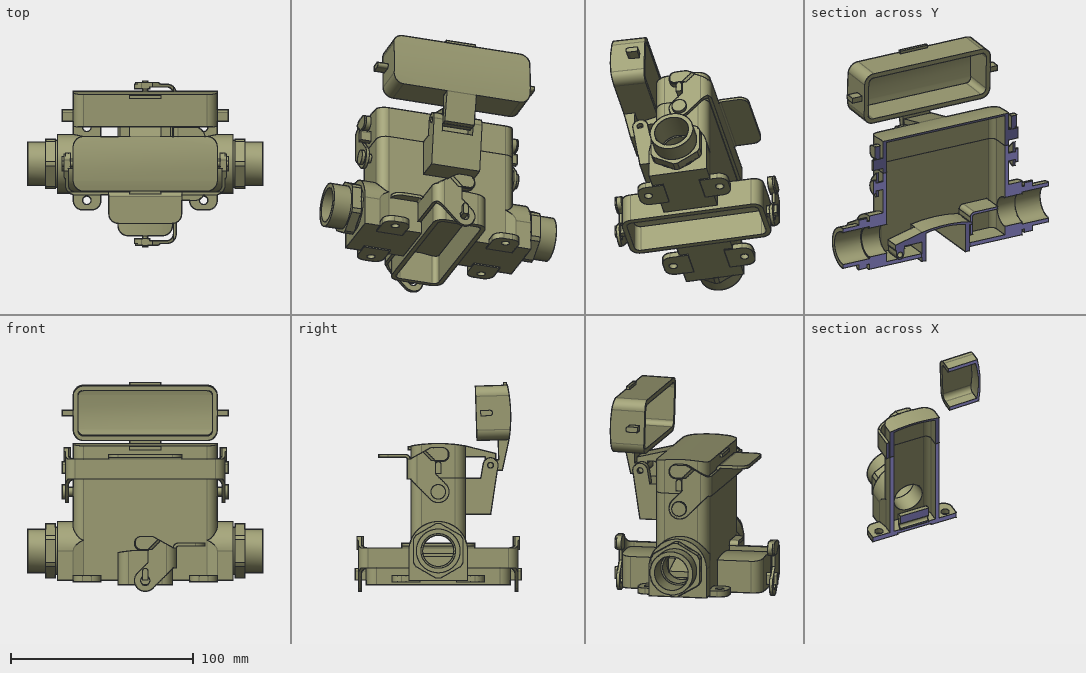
import cadquery as cq
import math


BOX_LENGTH = 79.0
BOX_WIDTH = 29.9
BOX_CORNER_RADIUS = 5.7
WALL = 2.6
HALF_LENGTH = BOX_LENGTH / 2
HALF_WIDTH = BOX_WIDTH / 2

HOUSING_HEIGHT = 56.0
SPIGOT_AXIS_Z = 16.1
BOSS_RADIUS = 16.1
BOSS_END_X = 48.1
BOSS_START_X = HALF_LENGTH - BOX_CORNER_RADIUS
CABLE_HOLE_DIAMETER = 17.0

FOOT_BOTTOM = -0.8
FOOT_TOP = WALL
FOOT_INNER_X = 24.3
FOOT_INNER_Y = 10.0
FOOT_OUTER_Y = 25.3
FOOT_CORNER_RADIUS = 5.2
FOOT_HOLE_X = 32.0
FOOT_HOLE_Y = 20.0
FOOT_HOLE_DIAMETER = 4.5

PEG_SPAN = 91.0
PEG_TIP = PEG_SPAN / 2
PEG_WIDTH = 3.0
PEG_BOTTOM = 2.6
PEG_TOP = 9.0
LEVER_PIVOT_Z = 48.5
RIVET_DIAMETER = 5.0
RIVET_HEAD_DIAMETER = 8.0

HINGE_Y = 28.6
HINGE_Z = 63.1
HINGE_PIN_DIAMETER = 3.0
HINGE_HOLE_DIAMETER = 3.2
HINGE_PIN_LENGTH = 22.7
EYE_RADIUS = 2.5
EAR_RADIUS = 4.1
EAR_LEAN = math.radians(9)
BRACKET_WIDTH = 27.9
BRACKET_BOTTOM_Z = 36.1
BRACKET_BOTTOM_Y = 28.8
BRACKET_TOP_Y = 23.2
EAR_GAP = 17.5
OPENING_ANGLE = 88.3

COVER_EDGE_HEIGHT = 17.7
COVER_CROWN_HEIGHT = 19.1
COVER_ROOF = 1.3
ARM_WIDTH = 17.0
ARM_TIP_Y = 31.6
ARM_TIP_TOP = 13.5
ARM_TIP_BOTTOM = 10.2
ARM_STEP_Y = 25.7
ARM_UNDERSIDE = 11.6
TAB_LENGTH = ARM_WIDTH
TAB_REACH = 1.5
TAB_BOTTOM = 15.5
TAB_TOP = 17.3
CROSS_COVER_RIM_Z = -2.5

SHEET = 1.7
LEVER_SIDE_X = 43.7
LEVER_FRONT = 17.0
LEVER_BEND_RADIUS = 5.3
LEVER_END_RADIUS = 5.9
BAND_BOTTOM = 7.0
BAND_TOP = 17.9
HOOK_TOP = 24.3
HOOK_BOTTOM = PEG_TOP + HOUSING_HEIGHT - LEVER_PIVOT_Z
HOOK_FRONT = 4.0
HOOK_BACK = 1.5
HOOK_OUTER_X = 44.6
HOOK_INNER_X = 41.0
HOOK_LIP_FRONT = 2.6
HOOK_RAMP = 2.0
PAD_INSET = 0.5
HANDLE_LENGTH = 40.0
HANDLE_REACH = 32.6
HANDLE_TOP = 20.5
HANDLE_CORNER_RADIUS = 5.2
CROSS_LEVER_PIVOT_Z = -0.1

NECK_DIAMETER = 26.0
NECK_END_X = 49.3
NUT_ACROSS_FLATS = 27.1
NUT_CORNER_DIAMETER = 29.9
NUT_END_X = 54.6
TUBE_DIAMETER = 24.0
TUBE_END_X = 64.5
SPIGOT_BORE_DIAMETER = 19.0


def block(x0, x1, y0, y1, z0, z1):
    """Axis-aligned block between two opposite corners."""
    return cq.Workplane("XY").box(x1 - x0, y1 - y0, z1 - z0, centered=False).translate((x0, y0, z0))


def rod_x(diameter, x0, x1, y=0.0, z=0.0):
    """Cylinder along X."""
    return cq.Workplane("YZ", origin=(x0, y, z)).circle(diameter / 2).extrude(x1 - x0)


def rounded_box(length, width, height, corner_radius):
    """Box standing on Z = 0 with rounded upright edges."""
    return cq.Workplane("XY").rect(length, width).extrude(height).edges("|Z").fillet(corner_radius)


def both_ends(shape):
    """The +X shape together with its mirror image at -X."""
    return shape.union(shape.mirror("YZ"))


def turn_crosswise(shape):
    """Quarter turn about Z that carries +Y to -X."""
    return shape.rotate((0, 0, 0), (0, 0, 1), 90)


def crowned_box(side_inset, top_inset):
    """Rounded box whose top is arched across its width, shrunk at the sides and at the top."""
    half_width = HALF_WIDTH - side_inset
    edge = COVER_EDGE_HEIGHT - top_inset
    crown = COVER_CROWN_HEIGHT - top_inset
    arch = (
        cq.Workplane("YZ")
        .moveTo(-half_width, 0)
        .lineTo(-half_width, edge)
        .threePointArc((0, crown), (half_width, edge))
        .lineTo(half_width, 0)
        .close()
        .extrude(HALF_LENGTH, both=True)
    )
    length = BOX_LENGTH - 2 * side_inset
    prism = rounded_box(length, 2 * half_width, crown, BOX_CORNER_RADIUS - side_inset)
    return prism.intersect(arch)


def cover_pegs():
    """Locking pegs with a round top, reaching out at both ends of a cover."""
    radius = PEG_WIDTH / 2
    peg = (
        cq.Workplane("YZ", origin=(HALF_LENGTH - WALL / 2, 0, 0))
        .moveTo(-radius, PEG_BOTTOM)
        .lineTo(-radius, PEG_TOP - radius)
        .threePointArc((0, PEG_TOP), (radius, PEG_TOP - radius))
        .lineTo(radius, PEG_BOTTOM)
        .close()
        .extrude(PEG_TIP - HALF_LENGTH + WALL / 2)
    )
    return both_ends(peg)


def hinge_arm():
    """Arm that reaches back from the cover over the hinge."""
    root_y = HALF_WIDTH - WALL / 2
    outline = [
        (root_y, COVER_EDGE_HEIGHT),
        (HALF_WIDTH, COVER_EDGE_HEIGHT),
        (ARM_TIP_Y, ARM_TIP_TOP),
        (ARM_TIP_Y, ARM_TIP_BOTTOM),
        (ARM_STEP_Y, ARM_TIP_BOTTOM),
        (ARM_STEP_Y, ARM_UNDERSIDE),
        (root_y, ARM_UNDERSIDE),
    ]
    return cq.Workplane("YZ").polyline(outline).close().extrude(ARM_WIDTH / 2, both=True)


def hinge_eye():
    """Strap from the arm down to the hinge axis, rounded about it and bored for the hinge pin."""
    pivot_height = HINGE_Z - HOUSING_HEIGHT
    half_arm = ARM_WIDTH / 2
    strap_front = HINGE_Y - EYE_RADIUS
    strap_back = HINGE_Y + EYE_RADIUS
    strap = block(-half_arm, half_arm, strap_front, strap_back, pivot_height, ARM_TIP_BOTTOM)
    eye = rod_x(2 * EYE_RADIUS, -half_arm, half_arm, HINGE_Y, pivot_height)
    pin_hole = rod_x(HINGE_PIN_DIAMETER, -half_arm, half_arm, HINGE_Y, pivot_height)
    return strap.union(eye).cut(pin_hole)


def finger_tab():
    """Small lip on the front of a cover."""
    half = TAB_LENGTH / 2
    front = -HALF_WIDTH - TAB_REACH
    return block(-half, half, front, -HALF_WIDTH + WALL / 2, TAB_BOTTOM, TAB_TOP)


def plain_cover():
    """Hollow cover with pegs, arm and tab; open below, rim at Z = 0."""
    solid = crowned_box(0, 0).union(hinge_arm()).union(cover_pegs()).union(finger_tab())
    return solid.cut(crowned_box(WALL, COVER_ROOF))


def cover():
    """Cover whose arm ends in the hinge eye."""
    return plain_cover().union(hinge_eye())


def place_on_housing(shape):
    return shape.translate((0, 0, HOUSING_HEIGHT))


def place_crosswise(shape):
    """Turn a cover a quarter about Z, its arm towards -X, and set it through the housing foot."""
    return turn_crosswise(shape).translate((0, 0, CROSS_COVER_RIM_Z))


def closed_cover():
    """Cover on the housing; it has no eye, because the open cover fills the hinge."""
    return place_on_housing(plain_cover())


def open_cover():
    hinge_start = (0, HINGE_Y, HINGE_Z)
    hinge_end = (1, HINGE_Y, HINGE_Z)
    return place_on_housing(cover()).rotate(hinge_start, hinge_end, -OPENING_ANGLE)


def cross_cover():
    return place_crosswise(cover())


def hinge_pin():
    """Plain pin through the open cover's eye, its ends set back inside the ears."""
    half_length = HINGE_PIN_LENGTH / 2
    return rod_x(HINGE_PIN_DIAMETER, -half_length, half_length, HINGE_Y, HINGE_Z)


def lever_profile():
    """Side outline of the lever, drawn with +Y towards the back, as a bar along X."""
    tangent = LEVER_END_RADIUS * math.sqrt(0.5)
    diagonal_offset = LEVER_END_RADIUS * math.sqrt(2)
    arc_middle_y = LEVER_END_RADIUS * math.cos(math.pi / 8)
    arc_middle_z = -LEVER_END_RADIUS * math.sin(math.pi / 8)
    hook_radius = (HOOK_TOP - HOOK_BOTTOM) / 2
    hook_middle = (HOOK_TOP + HOOK_BOTTOM) / 2
    hook_end = LEVER_END_RADIUS - hook_radius
    return (
        cq.Workplane("YZ")
        .moveTo(tangent, tangent)
        .threePointArc((arc_middle_y, arc_middle_z), (-tangent, -tangent))
        .lineTo(-diagonal_offset - BAND_BOTTOM, BAND_BOTTOM)
        .lineTo(-LEVER_FRONT, BAND_BOTTOM)
        .lineTo(-LEVER_FRONT, BAND_TOP)
        .lineTo(-diagonal_offset - BAND_BOTTOM, BAND_TOP)
        .lineTo(-HOOK_FRONT, HOOK_TOP)
        .lineTo(hook_end, HOOK_TOP)
        .threePointArc((LEVER_END_RADIUS, hook_middle), (hook_end, HOOK_BOTTOM))
        .lineTo(-HOOK_BACK, HOOK_BOTTOM)
        .lineTo(-HOOK_BACK, diagonal_offset + HOOK_BACK)
        .close()
        .extrude(HOOK_OUTER_X, both=True)
    )


def bent_sheet():
    """Upright sheet bent into a U: two sides and a front band with round bends."""
    back = LEVER_END_RADIUS
    middle_y = (back - LEVER_FRONT) / 2
    outer = (
        cq.Workplane("XY")
        .center(0, middle_y)
        .rect(2 * LEVER_SIDE_X, back + LEVER_FRONT)
        .extrude(HOOK_TOP + LEVER_END_RADIUS)
        .edges("|Z and <Y")
        .fillet(LEVER_BEND_RADIUS)
    )
    inner = (
        cq.Workplane("XY")
        .center(0, middle_y + SHEET / 2)
        .rect(2 * (LEVER_SIDE_X - SHEET), back + LEVER_FRONT - SHEET)
        .extrude(HOOK_TOP + LEVER_END_RADIUS)
        .edges("|Z and <Y")
        .fillet(LEVER_BEND_RADIUS - SHEET)
    )
    return outer.cut(inner).translate((0, 0, -LEVER_END_RADIUS))


def pad_section(x, front):
    """Outline of the outer hook pad at one X, with a front edge that leans forward at 45 degrees."""
    back = LEVER_END_RADIUS - PAD_INSET
    bottom = HOOK_BOTTOM + PAD_INSET
    corners = [
        cq.Vector(x, back, bottom),
        cq.Vector(x, -front, bottom),
        cq.Vector(x, -front - HOOK_TOP + bottom, HOOK_TOP),
        cq.Vector(x, back, HOOK_TOP),
    ]
    return cq.Wire.makePolygon(corners, close=True)


def hook_pads():
    """Thickened hooks: an inner lip, and an outer pad with a ramp down to the sheet."""
    lip = block(HOOK_INNER_X, LEVER_SIDE_X, -HOOK_LIP_FRONT, LEVER_END_RADIUS, HOOK_BOTTOM, HOOK_TOP)
    pad_height = HOOK_OUTER_X - LEVER_SIDE_X
    pad_root = pad_section(LEVER_SIDE_X - pad_height, HOOK_BACK + 2 * HOOK_RAMP)
    pad_face = pad_section(HOOK_OUTER_X, HOOK_BACK)
    pad = cq.Workplane(obj=cq.Solid.makeLoft([pad_root, pad_face], True))
    end_radius = (HOOK_TOP - HOOK_BOTTOM - PAD_INSET) / 2 - PAD_INSET
    end_block = block(
        HOOK_INNER_X,
        HOOK_OUTER_X,
        -LEVER_FRONT,
        LEVER_END_RADIUS - PAD_INSET,
        HOOK_BOTTOM + PAD_INSET,
        HOOK_TOP,
    )
    rounded_end = end_block.edges("|X and >Y").fillet(end_radius)
    return both_ends(lip.union(pad.intersect(rounded_end)))


def lever_handle():
    """Finger plate carried forward from the top of the band by a round bend."""
    bend_radius = HANDLE_TOP - BAND_TOP
    back = -LEVER_FRONT + SHEET
    plate_middle = -(HANDLE_REACH + LEVER_FRONT - SHEET) / 2
    plate_bottom = HANDLE_TOP - SHEET
    outline = [
        (back, BAND_TOP - SHEET),
        (back, HANDLE_TOP),
        (-HANDLE_REACH, HANDLE_TOP),
        (-HANDLE_REACH, plate_bottom),
        (-LEVER_FRONT, plate_bottom),
        (-LEVER_FRONT, BAND_TOP - SHEET),
    ]
    bar = (
        cq.Workplane("YZ")
        .polyline(outline)
        .close()
        .extrude(HANDLE_LENGTH / 2, both=True)
        .edges("|X and >Y and >Z")
        .fillet(bend_radius)
        .edges(cq.selectors.NearestToPointSelector((0, -LEVER_FRONT, plate_bottom)))
        .fillet(bend_radius - SHEET)
    )
    plan = (
        cq.Workplane("XY", origin=(0, plate_middle, 0))
        .rect(HANDLE_LENGTH, HANDLE_REACH - LEVER_FRONT + SHEET)
        .extrude(HANDLE_TOP)
        .edges("|Z and <Y")
        .fillet(HANDLE_CORNER_RADIUS)
    )
    return bar.intersect(plan)


def lever():
    """Locking lever with its pivot axis along X through the origin and its handle towards -Y."""
    body = bent_sheet().union(hook_pads()).intersect(lever_profile())
    pivot_hole = rod_x(RIVET_DIAMETER, -HOOK_OUTER_X, HOOK_OUTER_X)
    return body.cut(pivot_hole).union(lever_handle())


def cover_lever():
    return lever().translate((0, 0, LEVER_PIVOT_Z))


def cross_lever():
    """Second lever, turned crosswise, recessed for the pegs and the tab of the cross cover."""
    turned = turn_crosswise(lever()).translate((0, 0, CROSS_LEVER_PIVOT_Z))
    return turned.cut(cross_cover())


def spigot_boss():
    """Arched boss at +X whose flanks taper back into the sides of the housing."""
    arch = (
        cq.Workplane("YZ", origin=(BOSS_START_X, 0, 0))
        .moveTo(-BOSS_RADIUS, 0)
        .lineTo(-BOSS_RADIUS, SPIGOT_AXIS_Z)
        .threePointArc((0, SPIGOT_AXIS_Z + BOSS_RADIUS), (BOSS_RADIUS, SPIGOT_AXIS_Z))
        .lineTo(BOSS_RADIUS, 0)
        .close()
        .extrude(BOSS_END_X - BOSS_START_X)
    )
    plan = [
        (BOSS_START_X, -HALF_WIDTH),
        (HALF_LENGTH, -BOSS_RADIUS),
        (BOSS_END_X, -BOSS_RADIUS),
        (BOSS_END_X, BOSS_RADIUS),
        (HALF_LENGTH, BOSS_RADIUS),
        (BOSS_START_X, HALF_WIDTH),
    ]
    taper = cq.Workplane("XY").polyline(plan).close().extrude(SPIGOT_AXIS_Z + BOSS_RADIUS)
    return arch.intersect(taper)


def mounting_foot():
    """Foot at +X, -Y with a screw hole and round outer corners."""
    foot = block(FOOT_INNER_X, HALF_LENGTH, -FOOT_OUTER_Y, -FOOT_INNER_Y, FOOT_BOTTOM, FOOT_TOP)
    foot = foot.edges("|Z and <Y").fillet(FOOT_CORNER_RADIUS)
    hole = (
        cq.Workplane("XY", origin=(FOOT_HOLE_X, -FOOT_HOLE_Y, FOOT_BOTTOM))
        .circle(FOOT_HOLE_DIAMETER / 2)
        .extrude(FOOT_TOP - FOOT_BOTTOM)
    )
    return foot.cut(hole)


def hinge_bracket():
    """Block on the back of the housing that rises into two leaning, round-topped ears."""
    across_y = EAR_RADIUS * math.cos(EAR_LEAN)
    across_z = EAR_RADIUS * math.sin(EAR_LEAN)
    ear_top = (HINGE_Y + across_z, HINGE_Z + across_y)
    ear_front = (HINGE_Y - across_y, HINGE_Z + across_z)
    root_y = HALF_WIDTH - WALL / 2
    profile = (
        cq.Workplane("YZ")
        .moveTo(root_y, BRACKET_BOTTOM_Z)
        .lineTo(BRACKET_BOTTOM_Y, BRACKET_BOTTOM_Z)
        .lineTo(HINGE_Y + across_y, HINGE_Z - across_z)
        .threePointArc(ear_top, ear_front)
        .lineTo(BRACKET_TOP_Y, HOUSING_HEIGHT)
        .lineTo(root_y, HOUSING_HEIGHT)
        .close()
        .extrude(BRACKET_WIDTH / 2, both=True)
    )
    gap_back = HINGE_Y + 2 * EAR_RADIUS
    gap_top = HINGE_Z + 2 * EAR_RADIUS
    gap = block(-EAR_GAP / 2, EAR_GAP / 2, root_y, gap_back, HOUSING_HEIGHT, gap_top)
    hole = rod_x(HINGE_HOLE_DIAMETER, -BRACKET_WIDTH / 2, BRACKET_WIDTH / 2, HINGE_Y, HINGE_Z)
    return profile.cut(gap).cut(hole)


def lever_rivets():
    """Headed pivots that carry the cover lever at both ends."""
    shank = rod_x(RIVET_DIAMETER, HALF_LENGTH - WALL / 2, LEVER_SIDE_X, 0, LEVER_PIVOT_Z)
    head = rod_x(RIVET_HEAD_DIAMETER, LEVER_SIDE_X, PEG_TIP, 0, LEVER_PIVOT_Z)
    return both_ends(shank.union(head))


def cable_spigot():
    """Spigot on the +X boss: neck, hexagon with turned corners, and tube, on an axis along X."""
    neck = rod_x(NECK_DIAMETER, BOSS_END_X, NECK_END_X)
    hexagon = (
        cq.Workplane("YZ", origin=(NECK_END_X, 0, 0))
        .polygon(6, NUT_ACROSS_FLATS, circumscribed=True)
        .extrude(NUT_END_X - NECK_END_X)
    )
    nut = hexagon.intersect(rod_x(NUT_CORNER_DIAMETER, NECK_END_X, NUT_END_X))
    tube = rod_x(TUBE_DIAMETER, NUT_END_X, TUBE_END_X)
    bore = rod_x(SPIGOT_BORE_DIAMETER, BOSS_END_X, TUBE_END_X)
    return neck.union(nut).union(tube).cut(bore).translate((0, 0, SPIGOT_AXIS_Z))


def housing():
    """Hollow housing with bosses, spigots, feet, bracket and rivets, cleared for the cross parts."""
    body = rounded_box(BOX_LENGTH, BOX_WIDTH, HOUSING_HEIGHT, BOX_CORNER_RADIUS)
    body = body.union(both_ends(spigot_boss()))
    feet = both_ends(mounting_foot())
    body = body.union(feet).union(feet.mirror("XZ"))
    body = body.union(hinge_bracket()).union(lever_rivets())

    inner_radius = BOX_CORNER_RADIUS - WALL
    cavity = rounded_box(BOX_LENGTH - 2 * WALL, BOX_WIDTH - 2 * WALL, HOUSING_HEIGHT, inner_radius)
    cable_holes = rod_x(CABLE_HOLE_DIAMETER, -BOSS_END_X, BOSS_END_X, 0, SPIGOT_AXIS_Z)
    body = body.cut(cavity.translate((0, 0, WALL))).cut(cable_holes)
    body = body.union(both_ends(cable_spigot()))

    cover_opening = place_crosswise(crowned_box(0, 0))
    return body.cut(cover_opening).cut(cross_cover()).cut(cross_lever())


covers = [closed_cover(), open_cover(), cross_cover()]
levers = [cover_lever(), cross_lever()]

bodies = [housing(), hinge_pin(), *covers, *levers]
result = cq.Compound.makeCompound([body.solids().val() for body in bodies])